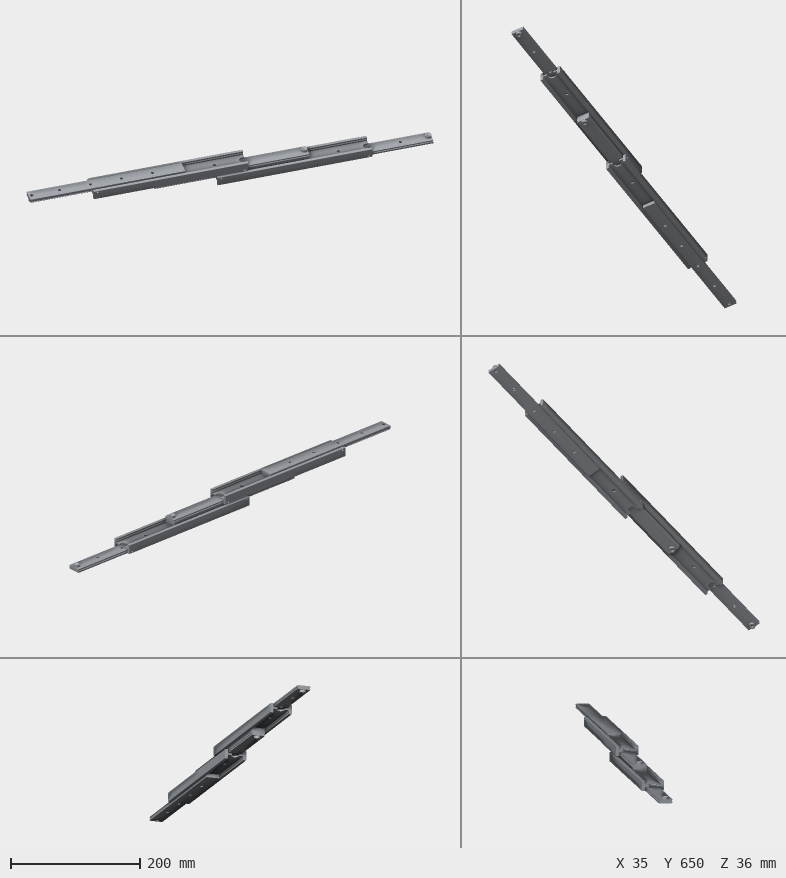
import cadquery as cq

member_length = 250.0
stage_travel = 100.0
member_count = 5
overall_length = member_length + (member_count - 1) * stage_travel
overall_height = 36.0

rail_height = 6.0
rail_half_width = 10.5

channel_half_width = 17.5
channel_inner_half_width = 12.5
channel_height = 15.0
channel_web = 2.5
channel_edge_radius = 0.5

track_radius = 1.8
track_half_spacing = (rail_half_width + channel_inner_half_width) / 2
track_height = 4.0

boss_radius = 5.0
boss_height = 10.0
boss_pit_radius = 3.0
boss_pit_depth = 2.0
boss_hole_diameter = 5.5

rail_hole_diameter = 5.0
rail_hole_places = (50.0, 100.0, 150.0, 200.0)
channel_hole_diameter = 5.5
channel_hole_places = (50.0, 200.0)

notch_radius = 6.0
notch_depth = 10.0

side_hole_diameter = 3.0
side_hole_inset = 6.0

channel_mid = overall_height / 4
track_offset = channel_mid - track_height


def upright_rod(diameter, y, height):
    """Round rod along Z, standing on z = 0."""
    return cq.Workplane("XY").center(0, y).circle(diameter / 2).extrude(height)


def track_rod(x, z):
    """Round rod along the full length of a member, used to cut a ball track."""
    return cq.Workplane("XZ").center(x, z).circle(track_radius).extrude(member_length)


def make_plain_rail():
    """Grooved rail with its stop boss, standing on z = 0 and running from y = 0 toward -Y."""
    rail = (
        cq.Workplane("XZ")
        .center(0, rail_height / 2)
        .rect(2 * rail_half_width, rail_height)
        .extrude(member_length)
    )
    for side in (-1, 1):
        rail = rail.cut(track_rod(side * track_half_spacing, track_height))

    rail = rail.union(upright_rod(2 * boss_radius, -boss_radius, boss_height))
    pit_tip = cq.Vector(0, -boss_radius, boss_height - boss_pit_depth)
    pit = cq.Solid.makeCone(0, boss_pit_radius, boss_pit_depth, pnt=pit_tip)
    return rail.cut(cq.Workplane(pit))


def make_end_rail():
    """Rail with mounting holes and a blind hole behind its boss."""
    rail = make_plain_rail()
    rail = rail.cut(upright_rod(boss_hole_diameter, -boss_radius, rail_height))
    for place in rail_hole_places:
        rail = rail.cut(upright_rod(rail_hole_diameter, -place, rail_height))
    return rail


def make_middle_rail():
    """Two plain rails joined back to back on z = 0, with their bosses at opposite ends."""
    upper_half = make_plain_rail().translate((0, member_length / 2, 0))
    return upper_half.union(turn_over(upper_half))


def make_notch():
    """Round-ended cutter for the web, entering from y = 0 toward -Y."""
    straight = notch_depth - notch_radius
    return (
        cq.Workplane("XY", origin=(0, 0, -channel_web / 2))
        .moveTo(-notch_radius, 0)
        .lineTo(-notch_radius, -straight)
        .threePointArc((0, -notch_depth), (notch_radius, -straight))
        .lineTo(notch_radius, 0)
        .close()
        .extrude(channel_web)
    )


def make_channel():
    """Channel centred on z = 0, running from y = 0 toward -Y."""
    channel = (
        cq.Workplane("XZ")
        .rect(2 * channel_half_width, channel_height)
        .extrude(member_length)
        .edges("|Y")
        .fillet(channel_edge_radius)
    )

    pocket_depth = (channel_height - channel_web) / 2
    pocket_mid = (channel_web + pocket_depth) / 2
    for level in (-1, 1):
        pocket = (
            cq.Workplane("XZ")
            .center(0, level * pocket_mid)
            .rect(2 * channel_inner_half_width, pocket_depth)
            .extrude(member_length)
        )
        channel = channel.cut(pocket)
        for side in (-1, 1):
            channel = channel.cut(track_rod(side * track_half_spacing, level * track_offset))

    notch = make_notch()
    channel = channel.cut(notch)
    channel = channel.cut(notch.rotate((0, 0, 0), (0, 0, 1), 180).translate((0, -member_length, 0)))

    for place in channel_hole_places:
        hole = upright_rod(channel_hole_diameter, -place, channel_web)
        channel = channel.cut(hole.translate((0, 0, -channel_web / 2)))

    for y, level in ((-side_hole_inset, -1), (side_hole_inset - member_length, 1)):
        side_hole = (
            cq.Workplane("YZ", origin=(-channel_half_width, 0, 0))
            .center(y, level * track_offset)
            .circle(side_hole_diameter / 2)
            .extrude(2 * channel_half_width)
        )
        channel = channel.cut(side_hole)
    return channel


def turn_over(body):
    """Half turn about the X axis, the symmetry of the whole slide."""
    return body.rotate((0, 0, 0), (1, 0, 0), 180)


rear = overall_length / 2

lower_rail = make_end_rail().translate((0, rear, -overall_height / 2))
lower_channel = make_channel().translate((0, rear - stage_travel, -channel_mid))
middle_rail = make_middle_rail()

end_rails = [lower_rail, turn_over(lower_rail)]
channels = [lower_channel, turn_over(lower_channel)]

result = cq.Compound.makeCompound([body.val() for body in [*end_rails, *channels, middle_rail]])